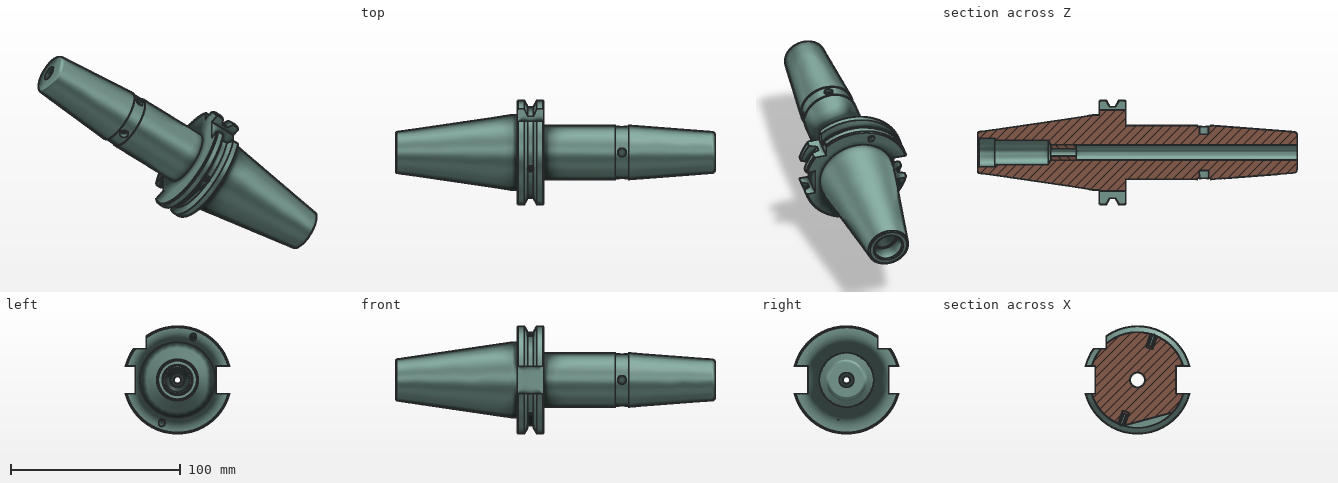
import cadquery as cq
import math


total_length = 188.4
taper_small_radius = 12.2
taper_large_radius = 22.2
taper_length = 68.4
taper_chamfer_length = 0.5
taper_chamfer_height = 1.0

flange_start = 71.5
flange_end = 87.5
flange_radius = 31.75
flange_chamfer = 0.8
groove_center = 79.5
groove_floor_radius = 28.3
groove_floor_width = 3.4
groove_wall_angle = 30.0

slot_width = 16.2
shallow_slot_floor = 25.0
deep_slot_floor = 22.8
notch_corner = 18.5
flat_distance = 24.0
flat_angle = 255.0

shank_radius = 16.0
collar_start = 129.5
collar_end = 137.3
collar_radius = 15.5
nose_radius = 12.2
nose_rounding = 2.3
balance_hole_diameter = 5.0
balance_hole_depth = 4.7
balance_hole_count = 4

mouth_radius = 8.3
mouth_chamfer = 0.8
mouth_depth = 10.2
thread_radius = 7.2
thread_depth = 41.5
drill_half_angle = 59.0

screw_radius = 4.3
screw_length = 15.0
screw_hole_radius = 2.0
screw_chamfer = 0.4
screw_start = thread_depth + (thread_radius - screw_radius) / math.tan(math.radians(drill_half_angle))

plug_angles = (110.0, 290.0)
plug_radius = 1.9
plug_top = 28.0
plug_length = 8.0
socket_width = 2.5
socket_depth = 6.5
channel_radius = 1.9
channel_entry_radius = 27.0
channel_slope = 30.0
channel_length = 12.2

axis_direction = cq.Vector(1, 0, 0)


def radial_direction(angle):
    """Unit vector away from the tool axis, turned from +Y towards +Z."""
    return cq.Vector(0, math.cos(math.radians(angle)), math.sin(math.radians(angle)))


def cylinder(start, direction, radius, length):
    return cq.Workplane(cq.Solid.makeCylinder(radius, length, start, direction))


def revolve_about_tool_axis(points):
    return cq.Workplane("XZ").polyline(points).close().revolve(360, (0, 0, 0), (1, 0, 0))


def make_taper():
    return revolve_about_tool_axis([
        (0, 0),
        (0, taper_small_radius - taper_chamfer_height),
        (taper_chamfer_length, taper_small_radius),
        (taper_length, taper_large_radius),
        (flange_start, taper_large_radius),
        (flange_start, 0),
    ])


def make_flange_disc():
    half_floor = groove_floor_width / 2
    wall_run = (flange_radius - groove_floor_radius) * math.tan(math.radians(groove_wall_angle))
    half_mouth = half_floor + wall_run
    rim_radius = flange_radius - flange_chamfer
    return revolve_about_tool_axis([
        (flange_start, 0),
        (flange_start, rim_radius),
        (flange_start + flange_chamfer, flange_radius),
        (groove_center - half_mouth, flange_radius),
        (groove_center - half_floor, groove_floor_radius),
        (groove_center + half_floor, groove_floor_radius),
        (groove_center + half_mouth, flange_radius),
        (flange_end - flange_chamfer, flange_radius),
        (flange_end, rim_radius),
        (flange_end, 0),
    ])


def make_slot_cutter():
    """Block through the flange, standing on Y = 0."""
    width = flange_end - flange_start
    block = cq.Workplane("XY").box(width, flange_radius, slot_width, centered=(False, False, True))
    return block.translate((flange_start, 0, 0))


def make_notch_cutter():
    width = flange_end - flange_start
    block = cq.Workplane("XY").box(width, flange_radius, flange_radius, centered=False)
    return block.translate((flange_start, notch_corner, notch_corner))


def make_flat_cutter():
    """Block as wide as the groove floor that planes one flat across it."""
    block = cq.Workplane("XY").box(
        groove_floor_width, flange_radius, 2 * flange_radius, centered=(True, False, True)
    )
    return block.translate((groove_center, flat_distance, 0)).rotate((0, 0, 0), (1, 0, 0), flat_angle)


def make_flange():
    slot = make_slot_cutter()
    return (
        make_flange_disc()
        .cut(slot.translate((0, shallow_slot_floor, 0)))
        .cut(slot.translate((0, -deep_slot_floor - flange_radius, 0)))
        .cut(make_notch_cutter())
        .cut(make_flat_cutter())
    )


def make_shank():
    return (
        cq.Workplane("XY")
        .moveTo(flange_end, 0)
        .lineTo(flange_end, shank_radius)
        .lineTo(collar_start, shank_radius)
        .lineTo(collar_start, collar_radius)
        .lineTo(collar_end, collar_radius)
        .lineTo(collar_end, shank_radius)
        .lineTo(total_length - nose_rounding, nose_radius)
        .radiusArc((total_length, nose_radius - nose_rounding), nose_rounding)
        .lineTo(total_length, 0)
        .close()
        .revolve(360, (0, 0, 0), (1, 0, 0))
    )


def make_bore():
    return revolve_about_tool_axis([
        (0, 0),
        (0, mouth_radius + mouth_chamfer),
        (mouth_chamfer, mouth_radius),
        (mouth_depth, mouth_radius),
        (mouth_depth, thread_radius),
        (thread_depth, thread_radius),
        (screw_start, screw_radius),
        (total_length, screw_radius),
        (total_length, 0),
    ])


def make_balance_hole(angle):
    outward = radial_direction(angle)
    collar_middle = axis_direction * ((collar_start + collar_end) / 2)
    bottom = collar_middle + outward * (collar_radius - balance_hole_depth)
    return cylinder(bottom, outward, balance_hole_diameter / 2, 2 * balance_hole_depth)


def make_channel(angle):
    """Coolant channel that slants inward from the taper-side face of the flange."""
    outward = radial_direction(angle)
    slope = math.radians(channel_slope)
    direction = axis_direction * math.cos(slope) - outward * math.sin(slope)
    entry = axis_direction * flange_start + outward * channel_entry_radius
    run_in = 2 * channel_radius
    return cylinder(entry - direction * run_in, direction, channel_radius, run_in + channel_length)


def make_plug_hole(angle):
    outward = radial_direction(angle)
    bottom_radius = plug_top - plug_length
    bottom = axis_direction * groove_center + outward * bottom_radius
    return cylinder(bottom, outward, plug_radius, flange_radius - bottom_radius)


def make_holder():
    holder = make_taper().union(make_flange()).union(make_shank()).cut(make_bore())
    for i in range(balance_hole_count):
        holder = holder.cut(make_balance_hole(i * 360 / balance_hole_count))
    for angle in plug_angles:
        holder = holder.cut(make_channel(angle)).cut(make_plug_hole(angle))
    return holder


def make_stop_screw():
    seat = axis_direction * screw_start
    body = cylinder(seat, axis_direction, screw_radius, screw_length).faces("<X").chamfer(screw_chamfer)
    return body.cut(cylinder(seat, axis_direction, screw_hole_radius, screw_length))


def make_plug(angle):
    """Plug with a hexagon socket, two of its corners across the tool axis."""
    across_corners = socket_width / math.cos(math.radians(30))
    plug = (
        cq.Workplane("XY")
        .circle(plug_radius)
        .extrude(plug_length)
        .faces(">Z")
        .workplane()
        .transformed(rotate=(0, 0, 90))
        .polygon(6, across_corners)
        .cutBlind(-socket_depth)
        .translate((groove_center, 0, plug_top - plug_length))
    )
    return plug.rotate((0, 0, 0), (1, 0, 0), angle - 90)


holder = make_holder()
stop_screw = make_stop_screw()
plugs = [make_plug(angle) for angle in plug_angles]

result = cq.Compound.makeCompound([holder.val(), stop_screw.val(), *[plug.val() for plug in plugs]])